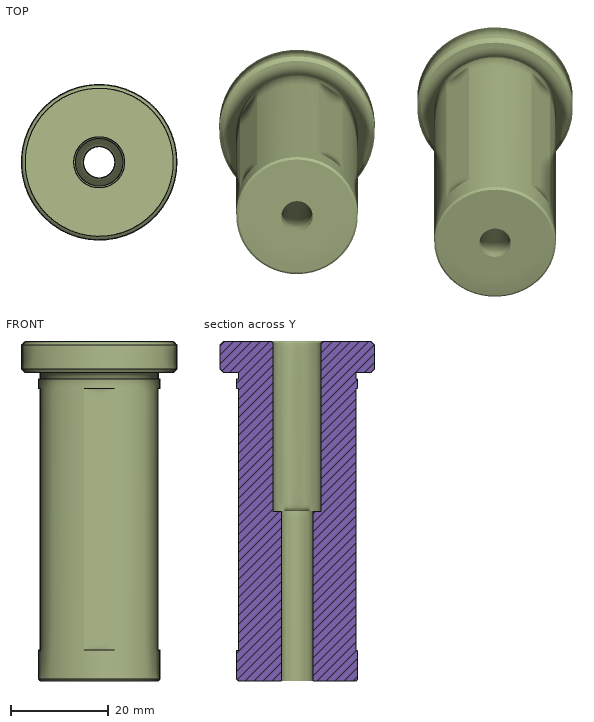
import cadquery as cq
import math

total_height = 69.85
flange_diameter = 32.0
flange_height = 6.4
flange_chamfer = 0.8
body_diameter = 25.0
body_chamfer = 0.4
neck_diameter = 24.3
neck_height = 1.25
flat_width = 6.0
flat_bottom = 6.35
flat_top = 60.15
through_diameter = 6.4
bore_diameter = 9.8
bore_depth = 34.9
bore_chamfer = 0.35

flange_radius = flange_diameter / 2
body_radius = body_diameter / 2
neck_radius = neck_diameter / 2
through_radius = through_diameter / 2
bore_radius = bore_diameter / 2
flange_bottom = total_height - flange_height
neck_bottom = flange_bottom - neck_height
bore_floor = total_height - bore_depth
flat_height = flat_top - flat_bottom
flat_distance = math.sqrt(body_radius**2 - (flat_width / 2) ** 2)


def turned_sleeve():
    """Flanged sleeve with its stepped bore, turned about the Z axis."""
    profile = (
        cq.Workplane("XZ")
        .moveTo(through_radius, 0)
        .lineTo(body_radius - body_chamfer, 0)
        .lineTo(body_radius, body_chamfer)
        .lineTo(body_radius, neck_bottom)
        .lineTo(neck_radius, neck_bottom)
        .lineTo(neck_radius, flange_bottom)
        .lineTo(flange_radius - flange_chamfer, flange_bottom)
        .lineTo(flange_radius, flange_bottom + flange_chamfer)
        .lineTo(flange_radius, total_height - flange_chamfer)
        .lineTo(flange_radius - flange_chamfer, total_height)
        .lineTo(bore_radius + bore_chamfer, total_height)
        .lineTo(bore_radius, total_height - bore_chamfer)
        .lineTo(bore_radius, bore_floor)
        .lineTo(through_radius, bore_floor)
        .close()
    )
    return profile.revolve(360, (0, 0, 0), (0, 1, 0))


def flat_cutter(angle):
    """Block that removes everything outside one flat."""
    block = cq.Workplane("XY").box(
        body_radius, 2 * flat_width, flat_height, centered=(False, True, False)
    )
    return block.translate((flat_distance, 0, flat_bottom)).rotate((0, 0, 0), (0, 0, 1), angle)


result = turned_sleeve()

for angle in (0, 90, 180, 270):
    result = result.cut(flat_cutter(angle))